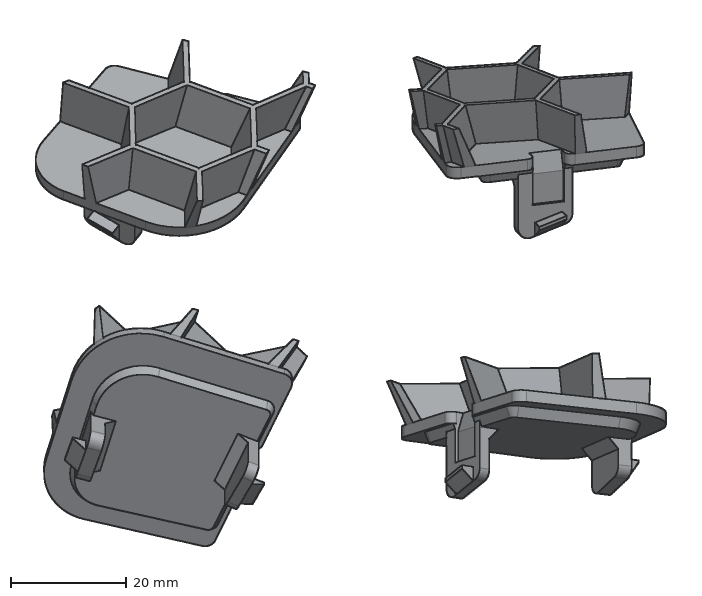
import cadquery as cq
import math

PLATE_THICKNESS = 2.05
WALL_HEIGHT = 7.93
WALL_TOP = PLATE_THICKNESS + WALL_HEIGHT
LIP_DEPTH = 1.9

PLATE_CORNERS = [(-0.28, 0), (38.42, 0), (36.5, 37.3), (0.75, 32.28)]
PLATE_RADII = [9.15, 12.4, 2.0, 2.0]
REAR_ANGLE = math.degrees(math.atan2(94.1 - 81.4, 92.1 - 1.9))

FLARE_LEFT = 0.2
FLARE_RIGHT = 2.1
FLARE_REAR = 2.35
FLARED_RADII = [9.15, 10.43, 2.0, 2.0]

LIP_CORNERS = [(3.15, 4.5), (32.15, 4.5), (30.75, 35.7), (4.05, 31.88)]
LIP_RADII = [6.15, 9.1, 1.8, 1.8]
LIP_DRAFT = 0.8

FOOT_THICKNESS = 2.0
TOP_THICKNESS = 1.05
JUNCTIONS = {
    "rear left": ((17.85, 24.7), (18.9, 27.0)),
    "rear right": ((30.0, 24.7), (31.95, 27.0)),
    "right": ((35.4, 15.25), (37.05, 18.25)),
    "front right": ((30.6, 6.7), (31.45, 8.4)),
    "front left": ((18.45, 6.7), (18.35, 8.4)),
    "left": ((12.93, 16.25), (13.35, 17.2)),
    "corner": ((34.8, 33.2), (37.25, 36.6)),
}
CELL_LOOP = ["rear left", "rear right", "right", "front right", "front left", "left"]
OUTER_RIBS = [
    ("left", 180),
    ("rear left", 120),
    ("corner", 120),
    ("corner", 0),
    ("right", 0),
    ("front right", -60),
    ("front left", -120),
]
RIB_REACH = 17.85

LEFT_RIB_FOOT_X = 0.2
LEFT_RIB_BEVEL_SLOPE = 0.6
BEVEL_CLEARANCE = 0.8

CLIP_WIDTH = 10.0
TAB_WIDTH = 5.0
TAB_REACH = 2.38
TAB_OFFSET = -0.55
GUSSET = 1.95
FRONT_CLIP_ORIGIN = (15.7, 4.75)
REAR_CLIP_ORIGIN = (18.7, 33.6)

NOTCH_WIDTH = 5.85
NOTCH_DEPTH = 1.75
NOTCH_MOUTH_RADIUS = 1.43
RECESS_DEPTH = 0.65
RECESS_BOTTOM = -6.98
RECESS_SLOPE_START = -1.4


def rounded_outline(corners, radii, z):
    """Closed wire through a convex polygon with every corner rounded."""
    arcs = []
    for i, (corner, radius) in enumerate(zip(corners, radii)):
        point = cq.Vector(*corner)
        back = (cq.Vector(*corners[i - 1]) - point).normalized()
        ahead = (cq.Vector(*corners[(i + 1) % len(corners)]) - point).normalized()
        half_angle = back.getAngle(ahead) / 2
        tangent = radius / math.tan(half_angle)
        bisector = (back + ahead).normalized()
        middle = bisector * (radius / math.sin(half_angle) - radius)
        arcs.append((point + back * tangent, point + middle, point + ahead * tangent))
    outline = cq.Workplane("XY", origin=(0, 0, z)).moveTo(*arcs[0][0].toTuple()[:2])
    for i, (_, middle, end) in enumerate(arcs):
        next_start = arcs[(i + 1) % len(arcs)][0]
        outline = outline.threePointArc(middle.toTuple()[:2], end.toTuple()[:2])
        outline = outline.lineTo(*next_start.toTuple()[:2])
    return outline.close().val()


def ruled_solid(lower, upper):
    return cq.Workplane(cq.Solid.makeLoft([lower, upper], True))


def make_plate():
    outline = rounded_outline(PLATE_CORNERS, PLATE_RADII, 0)
    return cq.Workplane(outline).toPending().extrude(PLATE_THICKNESS)


def make_lip():
    inward = [(1, 1), (-1, 1), (-1, -1), (1, -1)]
    bottom = [
        (x + dx * LIP_DRAFT, y + dy * LIP_DRAFT)
        for (x, y), (dx, dy) in zip(LIP_CORNERS, inward)
    ]
    bottom_radii = [radius - LIP_DRAFT for radius in LIP_RADII]
    lower = rounded_outline(bottom, bottom_radii, -LIP_DEPTH)
    return ruled_solid(lower, rounded_outline(LIP_CORNERS, LIP_RADII, 0))


def wall_section(start, end, thickness, z):
    along = (cq.Vector(*end) - cq.Vector(*start)).normalized()
    side = cq.Vector(-along.y, along.x) * (thickness / 2)
    base = cq.Vector(0, 0, z)
    ends = [cq.Vector(*start) + base, cq.Vector(*end) + base]
    corners = [ends[0] + side, ends[0] - side, ends[1] - side, ends[1] + side]
    return cq.Wire.makePolygon(corners, close=True)


def make_wall(start, end):
    """Leaning, tapered wall between two (foot point, top point) pairs."""
    foot = wall_section(start[0], end[0], FOOT_THICKNESS, PLATE_THICKNESS)
    top = wall_section(start[1], end[1], TOP_THICKNESS, WALL_TOP)
    return ruled_solid(foot, top)


def make_left_rib_bevel():
    """Wedge that slants the end of the left rib in plan, following its lean."""
    sections = []
    levels = (
        (LEFT_RIB_FOOT_X, FOOT_THICKNESS, PLATE_THICKNESS),
        (0, TOP_THICKNESS, WALL_TOP),
    )
    for (_, middle_y), (front_x, thickness, z) in zip(JUNCTIONS["left"], levels):
        front_y = middle_y - thickness / 2
        back_y = middle_y + thickness / 2
        back_x = front_x + thickness * LEFT_RIB_BEVEL_SLOPE
        plan = [
            (front_x, front_y),
            (back_x, back_y),
            (-BEVEL_CLEARANCE, back_y),
            (-BEVEL_CLEARANCE, front_y),
        ]
        sections.append(cq.Wire.makePolygon([cq.Vector(x, y, z) for x, y in plan], close=True))
    return ruled_solid(*sections)


def make_walls():
    spans = list(zip(CELL_LOOP, CELL_LOOP[1:] + CELL_LOOP[:1]))
    spans.append(("rear right", "corner"))
    walls = [make_wall(JUNCTIONS[a], JUNCTIONS[b]) for a, b in spans]
    for name, heading in OUTER_RIBS:
        dx = RIB_REACH * math.cos(math.radians(heading))
        dy = RIB_REACH * math.sin(math.radians(heading))
        far_end = [(x + dx, y + dy) for x, y in JUNCTIONS[name]]
        walls.append(make_wall(JUNCTIONS[name], far_end))
    network = walls[0]
    for wall in walls[1:]:
        network = network.union(wall)
    shifts = [
        (-FLARE_LEFT, 0),
        (FLARE_RIGHT, 0),
        (FLARE_RIGHT, FLARE_REAR),
        (-FLARE_LEFT, FLARE_REAR),
    ]
    flared = [(x + dx, y + dy) for (x, y), (dx, dy) in zip(PLATE_CORNERS, shifts)]
    envelope = ruled_solid(
        rounded_outline(PLATE_CORNERS, PLATE_RADII, PLATE_THICKNESS),
        rounded_outline(flared, FLARED_RADII, WALL_TOP),
    )
    return network.intersect(envelope).cut(make_left_rib_bevel())


def make_clip(thickness, left_z, right_z, radius, tab_top, tab_lip):
    """Clip with its outer face on Y = 0, facing +Y, and a slanted lower edge.

    left_z and right_z are the heights of the lower edge at either side;
    tab_top is the height of the tab at its left end, tab_lip its tip thickness.
    """
    half = CLIP_WIDTH / 2
    slope = (right_z - left_z) / CLIP_WIDTH
    body = (
        cq.Workplane("XZ")
        .polyline([(-half, 0), (half, 0), (half, right_z), (-half, left_z)])
        .close()
        .extrude(thickness)
        .edges("|Y")
        .edges("not >Z")
        .fillet(radius)
    )
    gusset_foot = -LIP_DEPTH - GUSSET
    gusset = (
        cq.Workplane("YZ", origin=(-half, 0, 0))
        .polyline([
            (-thickness, gusset_foot),
            (-thickness - GUSSET, -LIP_DEPTH),
            (-thickness, -LIP_DEPTH),
        ])
        .close()
        .extrude(CLIP_WIDTH)
    )
    tab_left = TAB_OFFSET - TAB_WIDTH / 2
    root_z = left_z + slope * (tab_left + half)
    profile = [(0, tab_top), (TAB_REACH, tab_top), (TAB_REACH, tab_top - tab_lip), (0, root_z)]
    ends = []
    for x, drop in ((tab_left, 0), (tab_left + TAB_WIDTH, slope * TAB_WIDTH)):
        corners = [cq.Vector(x, y, z + drop) for y, z in profile]
        ends.append(cq.Wire.makePolygon(corners, close=True))
    return body.union(gusset).union(ruled_solid(*ends))


def place_rear(shape):
    return shape.rotate((0, 0, 0), (0, 0, 1), REAR_ANGLE).translate(REAR_CLIP_ORIGIN)


def make_notch():
    """Opening through plate and lip that runs on as a recess in the rear clip."""
    open_end = TAB_REACH * 2
    left = TAB_OFFSET - NOTCH_WIDTH / 2
    notch = (
        cq.Workplane("YZ", origin=(left, 0, 0))
        .polyline([
            (open_end, RECESS_BOTTOM),
            (-RECESS_DEPTH, RECESS_BOTTOM),
            (-RECESS_DEPTH, RECESS_SLOPE_START),
            (-NOTCH_DEPTH, PLATE_THICKNESS),
            (open_end, PLATE_THICKNESS),
        ])
        .close()
        .extrude(NOTCH_WIDTH)
    )
    return place_rear(notch)


def round_notch_mouth(plate):
    """Round the two plate corners where the notch meets the rear edge."""
    corner_x, corner_y = PLATE_CORNERS[3]
    angle = math.radians(REAR_ANGLE)
    along = (REAR_CLIP_ORIGIN[0] - corner_x) * math.cos(angle)
    along += (REAR_CLIP_ORIGIN[1] - corner_y) * math.sin(angle)
    for side in (-1, 1):
        reach = along + TAB_OFFSET + side * NOTCH_WIDTH / 2
        x = corner_x + reach * math.cos(angle)
        y = corner_y + reach * math.sin(angle)
        mouth = cq.selectors.NearestToPointSelector((x, y, PLATE_THICKNESS / 2))
        plate = plate.edges("|Z").edges(mouth).fillet(NOTCH_MOUTH_RADIUS)
    return plate


front_clip = make_clip(
    thickness=2.6, left_z=-8.15, right_z=-10.63, radius=2.0, tab_top=-4.9, tab_lip=0.45
).mirror("XZ").translate(FRONT_CLIP_ORIGIN)
rear_clip = place_rear(
    make_clip(thickness=2.05, left_z=-10.7, right_z=-13.6, radius=1.9, tab_top=-8.75, tab_lip=0.65)
)
notch = make_notch()
plate = round_notch_mouth(make_plate().cut(notch))
underside = make_lip().union(rear_clip)
underside = underside.cut(notch)
result = plate.union(underside).union(front_clip).union(make_walls())